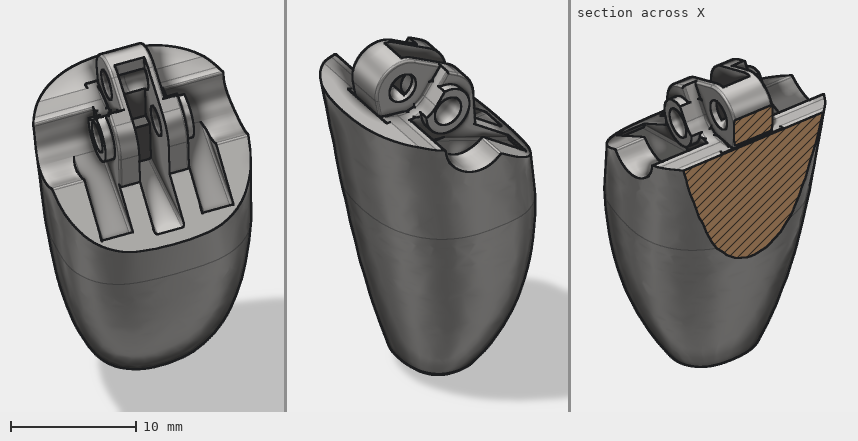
import cadquery as cq
import math


BORE_DIAMETER = 2.5
UPPER_BORE = (-3.4, 29.25)
LOWER_BORE = (-0.32, 26.95)
UPPER_LUG_RADIUS = 2.5
LOWER_LUG_RADIUS = 3.02
UPPER_LUG_HALF_WIDTH = 1.85
LOWER_LUG_HALF_WIDTH = 2.95
COLLAR_RADIUS = 2.03
COLLAR_HALF_WIDTH = 3.75
LUG_ROOT_Z = 22.87
LUG_FRONT_LEAN = 10.0
LUG_EDGE_RADIUS = 0.2
FLOOR_RADIUS = 0.22
REAR_TILT = 3.4

CLEARANCE_RADIUS = 2.4
TROUGH_ANGLE = 14.0
STOP_FACE_ANGLE = 54.5

RIM_SECTION = (30.5, -8.35, 6.4, 8.73, 2.6)
WAIST_SECTION = (17.47, -6.1, 7.72, 8.07, 2.9)
TAPER_SECTIONS = [
    (12.7, -5.2, 7.8, 7.55, 2.7),
    (8.25, -4.3, 7.18, 6.73, 2.5),
    (4.45, -3.37, 5.75, 5.45, 2.4),
]
NOSE_SECTION = (1.6, -2.57, 3.8, 4.0, 2.2)
TIP_SECTIONS = [
    (0.5, -1.33, 2.4, 2.48, 2.1),
    (0.0, -0.25, 1.2, 0.83, 2.0),
]
FRONT_EXPONENT = 2.3
SECTION_POINTS = 24

FRONT_RIM = (-7.85, 27.57)
FRONT_FACE_ANGLE = 7.7
REAR_RIM = (7.37, 20.8)
REAR_FACE_ANGLE = 35.4

POCKET_START_ANGLE = 19.0
POCKET_FLOOR_ANGLE = 20.0
POCKET_END_X = 5.9
POCKET_OUTER_Y = 5.6

SLOT_WIDTH = 2.5
SLOT_STEP_X = -2.73
SLOT_STEP_LENGTH = 1.0
SLOT_STEP_Z = 24.93
SLOT_END_X = 6.48

FAR = 25.4


def offset(point, distance, angle):
    """Point at a distance from another in XZ, with the angle in degrees from +X toward +Z."""
    turn = math.radians(angle)
    return (point[0] + distance * math.cos(turn), point[1] + distance * math.sin(turn))


def at_x(point, angle, x):
    """Point with the given X on the sloped line through a point."""
    return (x, point[1] + (x - point[0]) * math.tan(math.radians(angle)))


def at_z(point, angle, z):
    """Point with the given Z on the sloped line through a point."""
    return (point[0] + (z - point[1]) / math.tan(math.radians(angle)), z)


def plate(sketch, half_width):
    """Extrude an XZ outline equally to both sides of the symmetry plane."""
    return sketch.extrude(half_width, both=True)


def outer_bands(shape, inner_half_width):
    """Keep only the parts of a shape farther from the symmetry plane than a distance."""
    return shape.cut(cq.Workplane("XY").box(4 * FAR, 2 * inner_half_width, 4 * FAR))


def rod(centre, radius, half_width):
    """Cylinder along Y, centred on the symmetry plane."""
    return plate(cq.Workplane("XZ").center(*centre).circle(radius), half_width)


def body_section(left, right, half_width, rear_exponent):
    """Points around a superellipse cross-section."""
    points = []
    for i in range(SECTION_POINTS):
        turn = 2 * math.pi * i / SECTION_POINTS
        c, s = math.cos(turn), math.sin(turn)
        power = 2 / (rear_exponent if c > 0 else FRONT_EXPONENT)
        x = (left + right) / 2 + (right - left) / 2 * math.copysign(abs(c) ** power, c)
        y = half_width * math.copysign(abs(s) ** power, s)
        points.append((x, y))
    return points


def loft(sections):
    """Smooth solid through body sections from top to bottom."""
    steps = [i / SECTION_POINTS for i in range(SECTION_POINTS + 1)]
    wires = []
    for z, *size in sections:
        outline = cq.Workplane("XY", origin=(0, 0, z)).spline(
            body_section(*size), periodic=True, parameters=steps).close()
        wires.append(outline.val())
    return cq.Workplane(cq.Solid.makeLoft(wires))


def make_body():
    blank = loft([RIM_SECTION, WAIST_SECTION])
    blank = blank.union(loft([WAIST_SECTION, *TAPER_SECTIONS, NOSE_SECTION]))
    blank = blank.union(loft([NOSE_SECTION, *TIP_SECTIONS]))
    front_start = at_x(FRONT_RIM, -FRONT_FACE_ANGLE, -FAR)
    front_end = at_x(FRONT_RIM, -FRONT_FACE_ANGLE, UPPER_BORE[0])
    rear_start = at_x(REAR_RIM, -REAR_FACE_ANGLE, LOWER_BORE[0])
    rear_end = at_x(REAR_RIM, -REAR_FACE_ANGLE, FAR)
    above = plate(
        cq.Workplane("XZ")
        .polyline([front_start, front_end, rear_start, rear_end, (FAR, 2 * FAR), (-FAR, 2 * FAR)])
        .close(), FAR)
    return blank.cut(above)


def make_lug(half_width):
    """Plate wrapped around both bores, rooted in the body."""
    dx = LOWER_BORE[0] - UPPER_BORE[0]
    dz = LOWER_BORE[1] - UPPER_BORE[1]
    spread = math.degrees(math.acos((UPPER_LUG_RADIUS - LOWER_LUG_RADIUS) / math.hypot(dx, dz)))
    top = math.degrees(math.atan2(dz, dx)) + spread
    front = 180 + LUG_FRONT_LEAN
    front_tangent = offset(UPPER_BORE, UPPER_LUG_RADIUS, front)
    rear_tangent = offset(LOWER_BORE, LOWER_LUG_RADIUS, REAR_TILT)
    return plate(
        cq.Workplane("XZ")
        .moveTo(*at_z(front_tangent, front + 90, LUG_ROOT_Z))
        .lineTo(*front_tangent)
        .threePointArc(offset(UPPER_BORE, UPPER_LUG_RADIUS, (front + top) / 2),
                       offset(UPPER_BORE, UPPER_LUG_RADIUS, top))
        .lineTo(*offset(LOWER_BORE, LOWER_LUG_RADIUS, top))
        .threePointArc(offset(LOWER_BORE, LOWER_LUG_RADIUS, (top + REAR_TILT) / 2), rear_tangent)
        .lineTo(*at_z(rear_tangent, REAR_TILT - 90, LUG_ROOT_Z))
        .close(), half_width)


def make_clearance():
    """Space swept by the mating knuckles around the upper lug."""
    trough = 270 - TROUGH_ANGLE
    stop = STOP_FACE_ANGLE + 270
    trough_tangent = offset(UPPER_BORE, CLEARANCE_RADIUS, trough)
    stop_tangent = offset(UPPER_BORE, CLEARANCE_RADIUS, stop)
    return plate(
        cq.Workplane("XZ")
        .moveTo(*offset(trough_tangent, FAR, trough - 90))
        .lineTo(*trough_tangent)
        .threePointArc(offset(UPPER_BORE, CLEARANCE_RADIUS, (trough + stop) / 2), stop_tangent)
        .lineTo(*offset(stop_tangent, FAR, STOP_FACE_ANGLE))
        .close(), FAR)


def make_side_clearance():
    """Clearance on both sides of the upper lug, rounded where it meets the lug."""
    beyond_lug = cq.Workplane("XY").box(4 * FAR, 4 * FAR, 4 * FAR, centered=(True, False, True))
    far_side = make_clearance().intersect(beyond_lug.translate((0, UPPER_LUG_HALF_WIDTH, 0)))
    far_side = far_side.faces("<Y").edges().fillet(LUG_EDGE_RADIUS)
    return far_side.union(far_side.mirror("XZ"))


def make_pockets():
    """Shallow ramps on both sides of the lug, leaving the saddle almost tangent to it."""
    start = offset(LOWER_BORE, LOWER_LUG_RADIUS, 270 - POCKET_START_ANGLE)
    end = at_x(start, -POCKET_FLOOR_ANGLE, POCKET_END_X)
    ramp = plate(
        cq.Workplane("XZ")
        .polyline([start, end, (end[0], LOWER_BORE[1]), (start[0], LOWER_BORE[1])])
        .close(), POCKET_OUTER_Y)
    return outer_bands(ramp, LOWER_LUG_HALF_WIDTH).faces("<Z").edges("not |Y").fillet(FLOOR_RADIUS)


def make_slot():
    """Stepped slot whose walls and floors share the tilt of the rear lug face."""
    wall = REAR_TILT + 90
    step_start = (SLOT_STEP_X, SLOT_STEP_Z)
    step_end = offset(step_start, SLOT_STEP_LENGTH, REAR_TILT)
    end = at_x(REAR_RIM, -REAR_FACE_ANGLE, SLOT_END_X)
    floor_drop = at_x(step_end, REAR_TILT, end[0])[1] - end[1]
    wall_height = floor_drop * math.cos(math.radians(REAR_TILT))
    floor_start = offset(step_end, wall_height, wall - 180)
    return plate(
        cq.Workplane("XZ")
        .polyline([offset(step_start, FAR, wall), step_start, step_end, floor_start, end,
                   (SLOT_END_X, 2 * FAR)])
        .close(), SLOT_WIDTH / 2).faces("<Z").edges("not |Y").fillet(FLOOR_RADIUS)


def round_sides(lug):
    """Round the edges of both side faces of a lug."""
    return lug.faces("<Y or >Y").edges().fillet(LUG_EDGE_RADIUS)


def round_saddle_rims(shape):
    """Round the long front and rear rims where the saddle breaks through the top faces."""
    saddle_sides = cq.selectors.BoxSelector(
        (LOWER_BORE[0] - LOWER_LUG_RADIUS - 0.32, -FAR, LOWER_BORE[1] - LOWER_LUG_RADIUS + 0.32),
        (LOWER_BORE[0] + LOWER_LUG_RADIUS, FAR, LOWER_BORE[1]))
    rims = shape.edges("|Y").edges(saddle_sides)
    rims = rims.filter(lambda edge: abs(edge.Center().y) > COLLAR_HALF_WIDTH)
    return rims.fillet(LUG_EDGE_RADIUS)


saddle = outer_bands(rod(LOWER_BORE, LOWER_LUG_RADIUS, FAR), LOWER_LUG_HALF_WIDTH)
solid = make_body().cut(saddle).cut(make_pockets())
solid = solid.union(rod(LOWER_BORE, COLLAR_RADIUS, COLLAR_HALF_WIDTH))
solid = solid.union(round_sides(make_lug(LOWER_LUG_HALF_WIDTH).cut(make_clearance())))
solid = solid.cut(make_side_clearance())
solid = solid.union(round_sides(make_lug(UPPER_LUG_HALF_WIDTH)))
solid = solid.cut(make_slot())
for bore in (UPPER_BORE, LOWER_BORE):
    solid = solid.cut(rod(bore, BORE_DIAMETER / 2, FAR))
result = round_saddle_rims(solid)